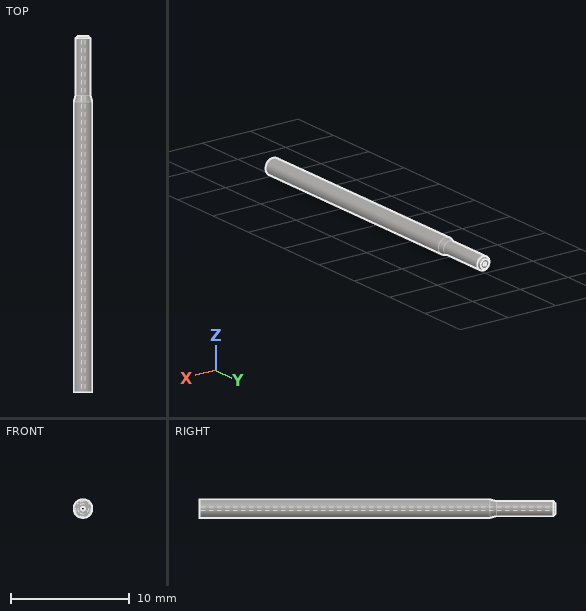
import cadquery as cq

length = 30.0
body_diameter = 1.6
shank_diameter = 1.3
bore_diameter = 0.3
shank_length = 5.0
shoulder_length = 0.55
tip_chamfer = 0.2

tip_y = length / 2
body_start_y = -length / 2
shank_start_y = tip_y - shank_length
body_end_y = shank_start_y - shoulder_length
body_radius = body_diameter / 2
shank_radius = shank_diameter / 2


def make_pin():
    """Revolve the half outline: body, conical shoulder and shank."""
    outline = (
        cq.Workplane("XY")
        .moveTo(0, body_start_y)
        .lineTo(body_radius, body_start_y)
        .lineTo(body_radius, body_end_y)
        .lineTo(shank_radius, shank_start_y)
        .lineTo(shank_radius, tip_y)
        .lineTo(0, tip_y)
        .close()
    )
    return outline.revolve(360, (0, 0), (0, 1))


def make_bore():
    """Return the cutter for the hole along the whole axis."""
    return (
        cq.Workplane("XZ", origin=(0, tip_y, 0))
        .circle(bore_diameter / 2)
        .extrude(length)
    )


chamfered_pin = make_pin().faces(">Y").edges().chamfer(tip_chamfer)
result = chamfered_pin.cut(make_bore())